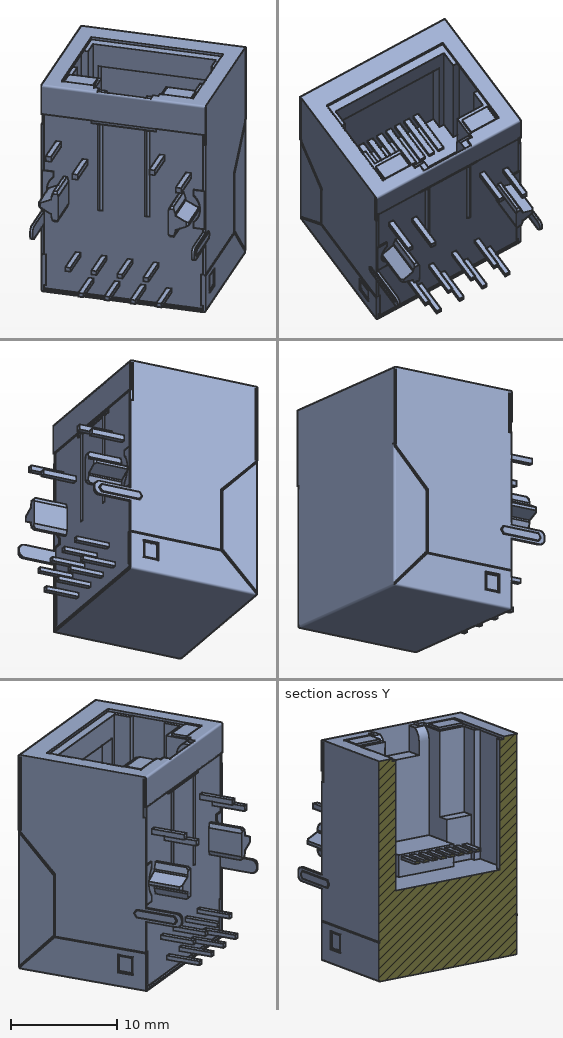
import cadquery as cq

HEIGHT = 21.58
BODY_DEPTH = 13.45
HALF_WIDTH = 8.05
SHEET = 0.25
LIP_SHEET = 0.22
LEDGE_Z = HEIGHT - SHEET
BEND = 0.22
CLEAR = 0.22
OVERLAP = 0.1

SHIELD_Y = 0.06
HOUSING_Y = 0.13
LIP_BOTTOM = 18.55
BACK_PLATE = 0.15
BACK_GAP = 0.2
SEAM_DEPTH = 0.09

OPENING_HALF = 6.45
OPENING_Y0 = 1.38
OPENING_Y1 = 11.22
PLUG_HALF = 6.02
PLUG_Y1 = 10.34
PLUG_Y0 = 3.5
SIDE_RELIEF_HALF = 6.71
SIDE_RELIEF_Y0 = 5.11
SIDE_RELIEF_Y1 = 8.7
SHELF_Y = 4.66
PLUG_FLOOR = 8.63
SHELF_Z = 12.95

LATCH_HALF = 3.17
LATCH_Y1 = 5.72
LATCH_WALL_Y = 1.81
LATCH_WALL_TOP_Y = 1.12
LATCH_ROUND_DROP = 1.19
LATCH_FLOOR = 10.8
LATCH_SLOT_HALF = 2.0
LATCH_SLOT_FLOOR = 18.77
RELIEF_BOTTOM = 18.21
SHIELD_NOTCH_HALF = 2.63
SHIELD_NOTCH_Y = 0.93

CONTACT_COUNT = 8
CONTACT_PITCH = 1.01
CONTACT_WIDTH = 0.58
CONTACT_THICK = 0.25
CONTACT_Z = 10.8
CONTACT_Y0 = 6.97
BAY_HALF = 5.52
BAY_Y1 = 11.4
BAY_TOP = 19.08

LED_X0 = 3.4
LED_X1 = 6.22
LED_Y0 = 1.45
LED_Y1 = 3.05
LED_RISE = 0.22

PIN_END = -3.25
PINS_PER_ROW = 4
SIGNAL_PITCH = 2.55
SIGNAL_ROWS = ((4.34, -0.25), (1.83, 0.25))
SIGNAL_X = 0.5
SIGNAL_Z = 0.4
LED_PIN = 0.52
LED_PINS = ((-6.37, 15.62), (-3.78, 14.11), (3.78, 15.62), (6.37, 14.11))
POST_Z = 10.7
POST_END = -3.35
POST_CHAMFER = 0.22
TAB_Z = 7.7
TAB_HEIGHT = 1.34
TAB_END = -3.7
TAB_RADIUS = 0.55
RIB_HEIGHT = 0.82
RIB_Y0 = PIN_END
RIB_Y1 = 1.3
RIB_POINT = 0.28
RIB_RISE = 0.06

SEAM_WIDTH = 0.15
SEAM_Y = 9.58
SEAM_Z0 = 3.9
SEAM_Z1 = 10.15
SEAM_TOP = SEAM_Z1 + BODY_DEPTH - SEAM_Y


def box(x0, x1, y0, y1, z0, z1):
    return cq.Workplane("XY").box(x1 - x0, y1 - y0, z1 - z0, centered=False).translate((x0, y0, z0))


def centred_box(half, y0, y1, z0, z1):
    return box(-half, half, y0, y1, z0, z1)


def both_sides(shape):
    """The shape together with its mirror image across the plane x = 0."""
    return shape.union(shape.mirror("YZ"))


def extrude_y(points, y0, y1):
    """Prism along Y from an outline of (x, z) points."""
    return cq.Workplane("XZ", origin=(0, y1, 0)).polyline(points).close().extrude(y1 - y0)


def extrude_x(points, x0, x1):
    """Prism along X from an outline of (y, z) points."""
    return cq.Workplane("YZ", origin=(x0, 0, 0)).polyline(points).close().extrude(x1 - x0)


def shielded_block():
    """Solid block with bent edges, then the recessed board side."""
    block = centred_box(HALF_WIDTH, 0, BODY_DEPTH, 0, HEIGHT)
    block = block.faces(">Z").edges("|X").fillet(BEND)
    back = centred_box(HALF_WIDTH, 0, BODY_DEPTH, 0, SEAM_TOP)
    back = back.edges("(>Y and |Z) or (<Z and |Y) or (<Z and >Y)").fillet(BEND)
    front = centred_box(HALF_WIDTH, 0, BODY_DEPTH, SEAM_TOP, HEIGHT)
    block = block.intersect(back.union(front))
    block = block.cut(centred_box(HALF_WIDTH, 0, SHIELD_Y, 0, LIP_BOTTOM))
    inner_half = HALF_WIDTH - SHEET
    block = block.cut(centred_box(inner_half, 0, HOUSING_Y, BACK_PLATE, LIP_BOTTOM))
    gap_top = BACK_PLATE + BACK_GAP
    block = block.cut(centred_box(inner_half, 0, HOUSING_Y + SHEET, BACK_PLATE, gap_top))
    flap_edge = 7.6
    flap_bottom = 0.67
    flap = box(flap_edge, HALF_WIDTH - OVERLAP, SHIELD_Y, HOUSING_Y + OVERLAP, flap_bottom, SEAM_Z0)
    return block.union(both_sides(flap))


def opening_cuts():
    """Shield opening, plug cavity, contact bay and latch channel."""
    above = HEIGHT + CLEAR
    cuts = centred_box(OPENING_HALF, OPENING_Y0, OPENING_Y1, LEDGE_Z, above)
    cuts = cuts.union(centred_box(LATCH_HALF, SHIELD_NOTCH_Y, OPENING_Y0, LEDGE_Z, above))
    cuts = cuts.union(centred_box(SHIELD_NOTCH_HALF, LIP_SHEET, SHIELD_NOTCH_Y, LEDGE_Z, above))
    cuts = cuts.union(centred_box(PLUG_HALF, SHELF_Y, PLUG_Y1, PLUG_FLOOR, HEIGHT))
    cuts = cuts.union(centred_box(PLUG_HALF, PLUG_Y0, SHELF_Y, SHELF_Z, LEDGE_Z))
    cuts = cuts.union(centred_box(SIDE_RELIEF_HALF, SIDE_RELIEF_Y0, SIDE_RELIEF_Y1, PLUG_FLOOR, LEDGE_Z))
    cuts = cuts.union(centred_box(BAY_HALF, PLUG_Y1, BAY_Y1, PLUG_FLOOR, BAY_TOP))
    mouth = (
        cq.Workplane("YZ", origin=(-LATCH_HALF, 0, 0))
        .moveTo(LATCH_WALL_Y, LATCH_FLOOR)
        .lineTo(LATCH_WALL_Y, LEDGE_Z - LATCH_ROUND_DROP)
        .tangentArcPoint((LATCH_WALL_TOP_Y, LEDGE_Z), relative=False)
        .lineTo(LATCH_Y1, LEDGE_Z)
        .lineTo(LATCH_Y1, LATCH_FLOOR)
        .close()
        .extrude(2 * LATCH_HALF)
    )
    cuts = cuts.union(mouth)
    cuts = cuts.union(centred_box(LATCH_SLOT_HALF, LIP_SHEET, LATCH_WALL_Y, LATCH_SLOT_FLOOR, LEDGE_Z))
    return cuts.union(centred_box(LATCH_HALF, HOUSING_Y, LIP_SHEET, RELIEF_BOTTOM, LIP_BOTTOM))


def latch_step():
    """Raised step in the plug cavity where the latch channel ends."""
    return centred_box(LATCH_HALF, SHELF_Y, LATCH_Y1, PLUG_FLOOR - OVERLAP, LATCH_FLOOR)


def contacts():
    """Flat fingers reaching out of the contact bay."""
    fingers = cq.Workplane("XY")
    contact_top = CONTACT_Z + CONTACT_THICK
    for i in range(CONTACT_COUNT):
        x = (i - (CONTACT_COUNT - 1) / 2) * CONTACT_PITCH
        finger = centred_box(CONTACT_WIDTH / 2, CONTACT_Y0, BAY_Y1 + OVERLAP, CONTACT_Z, contact_top)
        fingers = fingers.union(finger.translate((x, 0, 0)))
    return fingers


def indicators():
    """Indicator lenses standing on the housing ledge."""
    return both_sides(box(LED_X0, LED_X1, LED_Y0, LED_Y1, LEDGE_Z - OVERLAP, LEDGE_Z + LED_RISE))


def side_seams():
    """Shallow grooves on both sides where the shield panels meet."""
    x0 = HALF_WIDTH - SEAM_DEPTH
    x1 = HALF_WIDTH + CLEAR
    diagonal_foot = SEAM_Z0 - (BODY_DEPTH - SEAM_Y)
    ramp = [
        (BODY_DEPTH, SEAM_TOP),
        (SEAM_Y, SEAM_Z1),
        (SEAM_Y, SEAM_Z0),
        (BODY_DEPTH, diagonal_foot),
        (BODY_DEPTH, diagonal_foot + SEAM_WIDTH),
        (SEAM_Y + SEAM_WIDTH, SEAM_Z0 + SEAM_WIDTH / 2),
        (SEAM_Y + SEAM_WIDTH, SEAM_Z1 - SEAM_WIDTH / 2),
        (BODY_DEPTH, SEAM_TOP - SEAM_WIDTH),
    ]
    seams = extrude_x(ramp, x0, x1)
    seams = seams.union(box(x0, x1, 0, SEAM_Y + SEAM_WIDTH, SEAM_Z0 - SEAM_WIDTH / 2, SEAM_Z0))
    lip_slit_y0 = 0.13
    lip_slit_y1 = 0.32
    lip_slit_bottom = 17.48
    wall_slit_y0 = 13.19
    wall_slit_y1 = 13.27
    seams = seams.union(box(x0, x1, lip_slit_y0, lip_slit_y1, lip_slit_bottom, LEDGE_Z))
    seams = seams.union(box(x0, x1, 0, lip_slit_y1, lip_slit_bottom, LIP_BOTTOM))
    seams = seams.union(box(x0, x1, wall_slit_y0, wall_slit_y1, SEAM_TOP, LEDGE_Z))
    return both_sides(seams)


def latch_windows():
    """Window in each side panel around a catch on the housing."""
    y0, y1 = 1.42, 3.02
    z0, z1 = 1.42, 3.24
    clearance = 0.15
    catch_drop = 0.09
    floor = HALF_WIDTH - SHEET
    window = box(floor, HALF_WIDTH + CLEAR, y0, y1, z0, z1)
    catch = box(
        floor - OVERLAP, HALF_WIDTH - catch_drop,
        y0 + clearance, y1 - clearance,
        z0 + clearance, z1 - clearance,
    )
    return both_sides(window.cut(catch))


def crush_ridges():
    """Two triangular ridges on the board side."""
    centre = 2.3
    half = 0.24
    bottom = 9.24
    root = HOUSING_Y + OVERLAP
    profile = [(centre - half, root), (centre - half, HOUSING_Y), (centre, 0)]
    profile += [(centre + half, HOUSING_Y), (centre + half, root)]
    ridge = cq.Workplane("XY", origin=(0, 0, bottom)).polyline(profile).close()
    return both_sides(ridge.extrude(RELIEF_BOTTOM - bottom))


def folded_ears():
    """Shield ears folded onto the board side, arched around the posts."""
    edge = 6.86
    arch = 7.5
    half_height = 1.99
    half_arch = 1.4
    ear = (
        cq.Workplane("XZ", origin=(0, HOUSING_Y + OVERLAP, 0))
        .moveTo(HALF_WIDTH - OVERLAP, POST_Z - half_height)
        .lineTo(edge, POST_Z - half_height)
        .lineTo(edge, POST_Z - half_arch)
        .threePointArc((arch, POST_Z), (edge, POST_Z + half_arch))
        .lineTo(edge, POST_Z + half_height)
        .lineTo(HALF_WIDTH - OVERLAP, POST_Z + half_height)
        .close()
        .extrude(HOUSING_Y + OVERLAP)
    )
    return both_sides(ear)


def posts():
    """Arrow-shaped locating posts with bevelled ends."""
    upper = [(7.35, 0.15), (6.09, 0.75), (6.09, 0.95), (5.87, 1.6), (5.55, 1.6), (5.37, 1.17)]
    outline = [(x, POST_Z + z) for x, z in upper]
    outline += [(x, POST_Z - z) for x, z in reversed(upper)]
    post = extrude_y(outline, POST_END, HOUSING_Y + OVERLAP)
    post = post.faces("<Y").edges(">X or >Z or <Z").chamfer(POST_CHAMFER)
    return both_sides(post)


def pin(x, z, width, height):
    return box(x - width / 2, x + width / 2, PIN_END, HOUSING_Y + OVERLAP, z - height / 2, z + height / 2)


def pins():
    """Staggered signal pins and the indicator pins."""
    group = cq.Workplane("XY")
    for z, shift in SIGNAL_ROWS:
        for i in range(PINS_PER_ROW):
            x = (i - (PINS_PER_ROW - 1) / 2 + shift) * SIGNAL_PITCH
            group = group.union(pin(x, z, SIGNAL_X, SIGNAL_Z))
    for x, z in LED_PINS:
        group = group.union(pin(x, z, LED_PIN, LED_PIN))
    return group


def ground_tabs():
    """Rounded tabs with a raised stiffening rib on the outside."""
    half = TAB_HEIGHT / 2
    tab = box(HALF_WIDTH - SHEET, HALF_WIDTH, TAB_END, SHIELD_Y + OVERLAP, TAB_Z - half, TAB_Z + half)
    tab = tab.faces("<Y").edges("|X").fillet(TAB_RADIUS)
    rib_half = RIB_HEIGHT / 2
    rib_outline = [
        (RIB_Y0, TAB_Z),
        (RIB_Y0 + RIB_POINT, TAB_Z + rib_half),
        (RIB_Y1 - RIB_POINT, TAB_Z + rib_half),
        (RIB_Y1, TAB_Z),
        (RIB_Y1 - RIB_POINT, TAB_Z - rib_half),
        (RIB_Y0 + RIB_POINT, TAB_Z - rib_half),
    ]
    rib = extrude_x(rib_outline, HALF_WIDTH - OVERLAP, HALF_WIDTH + RIB_RISE)
    rib = rib.faces(">X").chamfer(RIB_RISE)
    return both_sides(tab.union(rib))


result = shielded_block().cut(opening_cuts()).cut(side_seams()).cut(latch_windows())
for feature in (latch_step, contacts, indicators, crush_ridges, folded_ears, posts, pins, ground_tabs):
    result = result.union(feature())